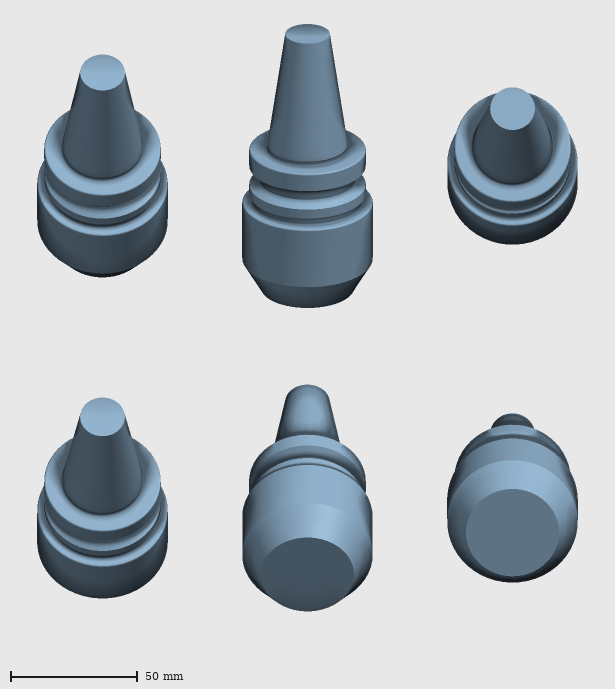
import cadquery as cq
import math

BODY_RADIUS = 25.75
BODY_TOP = 37.9
BODY_EDGE_ROUND = 0.7
NOSE_HEIGHT = 12.75
NOSE_ANGLE = math.radians(30)
NOSE_RADIUS = BODY_RADIUS - NOSE_HEIGHT * math.tan(NOSE_ANGLE)

OVERALL_HEIGHT = 111.4
SHANK_LENGTH = 48.4
GAUGE_DIAMETER = 31.75
GAUGE_RADIUS = GAUGE_DIAMETER / 2
TAPER_RATIO = 7 / 24
GAUGE_HEIGHT = OVERALL_HEIGHT - SHANK_LENGTH
TIP_RADIUS = GAUGE_RADIUS - SHANK_LENGTH * TAPER_RATIO / 2

FLANGE_RADIUS = 23.0
FLANGE_TOP_DROP = 2.0
FLANGE_BOTTOM_DROP = 22.1
GROOVE_CENTER_DROP = 13.5
FLANGE_TOP = GAUGE_HEIGHT - FLANGE_TOP_DROP
FLANGE_BOTTOM = GAUGE_HEIGHT - FLANGE_BOTTOM_DROP
FLANGE_TOP_ROUND = 0.7
FLANGE_BOTTOM_ROUND = 0.75
GROOVE_CENTER = GAUGE_HEIGHT - GROOVE_CENTER_DROP
GROOVE_HALF_WIDTH = 4.05
GROOVE_FLOOR_RADIUS = 18.95
GROOVE_FLANK_ANGLE = math.radians(30)
GROOVE_FILLET = 0.4

RELIEF_RADIUS = 15.6
RELIEF_STEP = 0.6
RELIEF_FILLET = 0.8

NECK_RADIUS = 21.65
NECK_LOWER_FILLET = 0.9
NECK_UPPER_FILLET = 0.5


QUARTER_ROUND_OFFSET = 1 - math.sqrt(0.5)


def top_rounded_edge(profile, edge_radius, edge_z, rounding):
    """Draw a convex quarter round from a cylinder of edge_radius up to its top face at edge_z."""
    offset = rounding * QUARTER_ROUND_OFFSET
    middle = (edge_radius - offset, edge_z - offset)
    on_face = (edge_radius - rounding, edge_z)
    return profile.lineTo(edge_radius, edge_z - rounding).threePointArc(middle, on_face)


def bottom_rounded_edge(profile, edge_radius, edge_z, rounding):
    """Draw a convex quarter round from the bottom face at edge_z up to a cylinder of edge_radius."""
    offset = rounding * QUARTER_ROUND_OFFSET
    middle = (edge_radius - offset, edge_z + offset)
    on_cylinder = (edge_radius, edge_z + rounding)
    return profile.lineTo(edge_radius - rounding, edge_z).threePointArc(middle, on_cylinder)


def cove(profile, corner_radius, corner_z, fillet, upward):
    """Draw a concave quarter round between a flat face and a cylinder of corner_radius.

    The corner lies at (corner_radius, corner_z). With upward True the round runs from
    the face at corner_z up to the cylinder, otherwise from the cylinder up to the face.
    """
    offset = fillet * QUARTER_ROUND_OFFSET
    on_face = (corner_radius + fillet, corner_z)
    if upward:
        middle = (corner_radius + offset, corner_z + offset)
        on_cylinder = (corner_radius, corner_z + fillet)
        return profile.lineTo(*on_face).threePointArc(middle, on_cylinder)
    middle = (corner_radius + offset, corner_z - offset)
    on_cylinder = (corner_radius, corner_z - fillet)
    return profile.lineTo(*on_cylinder).threePointArc(middle, on_face)


def add_body(profile):
    """Nose cone and body cylinder with its rounded upper edge."""
    profile = profile.lineTo(NOSE_RADIUS, 0).lineTo(BODY_RADIUS, NOSE_HEIGHT)
    return top_rounded_edge(profile, BODY_RADIUS, BODY_TOP, BODY_EDGE_ROUND)


def add_neck(profile):
    """Neck cylinder, rounded into the body below and the flange above."""
    profile = cove(profile, NECK_RADIUS, BODY_TOP, NECK_LOWER_FILLET, upward=True)
    return cove(profile, NECK_RADIUS, FLANGE_BOTTOM, NECK_UPPER_FILLET, upward=False)


def groove_corner(profile, floor_half_width, lower):
    """Fillet between the groove floor and its lower or upper flank."""
    side = -1 if lower else 1
    turn = math.pi / 2 - GROOVE_FLANK_ANGLE
    arc_center_radius = GROOVE_FLOOR_RADIUS + GROOVE_FILLET
    arc_center_offset = floor_half_width - GROOVE_FILLET * math.tan(turn / 2)

    def arc_point(angle):
        radius = arc_center_radius - GROOVE_FILLET * math.cos(angle)
        offset = arc_center_offset + GROOVE_FILLET * math.sin(angle)
        return (radius, GROOVE_CENTER + side * offset)

    start, end = (turn, 0) if lower else (0, turn)
    return profile.lineTo(*arc_point(start)).threePointArc(arc_point(turn / 2), arc_point(end))


def add_flange(profile):
    """Lower rim, gripper groove and upper rim."""
    flank_height = (FLANGE_RADIUS - GROOVE_FLOOR_RADIUS) * math.tan(GROOVE_FLANK_ANGLE)
    floor_half_width = GROOVE_HALF_WIDTH - flank_height
    profile = bottom_rounded_edge(profile, FLANGE_RADIUS, FLANGE_BOTTOM, FLANGE_BOTTOM_ROUND)
    profile = profile.lineTo(FLANGE_RADIUS, GROOVE_CENTER - GROOVE_HALF_WIDTH)
    profile = groove_corner(profile, floor_half_width, lower=True)
    profile = groove_corner(profile, floor_half_width, lower=False)
    profile = profile.lineTo(FLANGE_RADIUS, GROOVE_CENTER + GROOVE_HALF_WIDTH)
    return top_rounded_edge(profile, FLANGE_RADIUS, FLANGE_TOP, FLANGE_TOP_ROUND)


def add_shank(profile):
    """Relief rounded into the flange, then the taper up to the flat tip."""
    profile = cove(profile, RELIEF_RADIUS, FLANGE_TOP, RELIEF_FILLET, upward=True)
    return (
        profile.lineTo(RELIEF_RADIUS, GAUGE_HEIGHT - RELIEF_STEP)
        .lineTo(GAUGE_RADIUS, GAUGE_HEIGHT)
        .lineTo(TIP_RADIUS, OVERALL_HEIGHT)
        .lineTo(0, OVERALL_HEIGHT)
    )


half_section = cq.Workplane("XZ").moveTo(0, 0)
for add_section in (add_body, add_neck, add_flange, add_shank):
    half_section = add_section(half_section)

result = half_section.close().revolve(360, (0, 0, 0), (0, 1, 0))